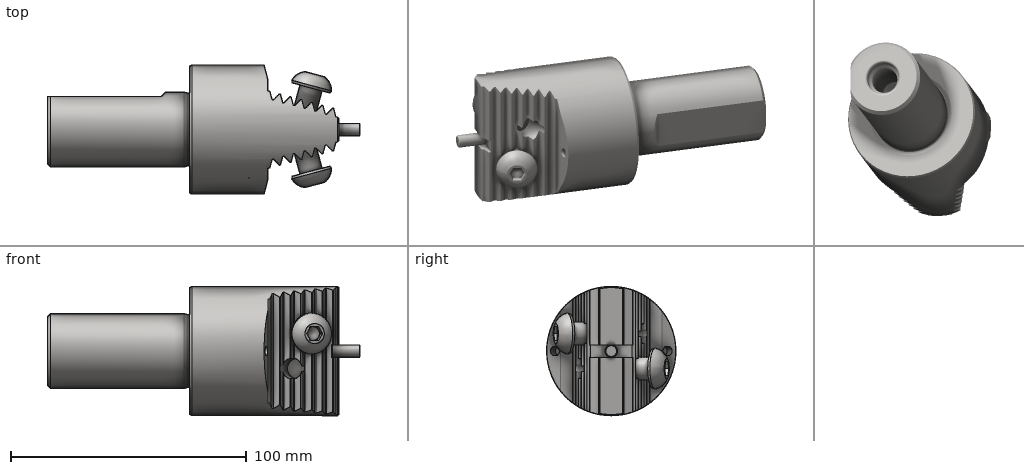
import cadquery as cq
import math


shank_radius = 15.9
shank_chamfer_length = 1.3
shank_chamfer_depth = 1.3
flat_offset = 14.0
flat_end = 48.3
neck_taper_start = 58.0
neck_start = 59.5
neck_radius = 15.5
undercut_start = 60.0
undercut_depth = 0.5
undercut_inner_radius = 16.2
undercut_outer_radius = 17.6

bore_radius = 5.5
bore_depth = 26.5
drill_tip_angle = 118.0
recess_radius = 6.8
recess_end = 2.7
recess_cone_length = 1.5
mouth_round = 0.9

head_start = 60.4
head_end = 123.7
head_radius = 27.5
head_rear_chamfer_length = 0.9
head_chamfer = 0.5

flank_angle = 15.0
first_tip_x = 94.2
first_tip_y = 16.3
tooth_row_length = 28.0
tooth_depth = 3.2
tooth_half_angle = 30.0
full_teeth = 6
wall_x = 93.5
wall_bend_y = 21.5

outlet_radius = 2.0
outlet_y = 23.9
outlet_depth = 8.0

screw_x = 111.9
screw_y = 17.6
screw_z = 7.4
screw_radius = 4.9
screw_length = 22.7
screw_hole_radius = 4.2
cap_radius = 8.8
cap_height = 6.1
cap_flat_radius = 4.2
cap_bulge_radius = 7.7
cap_bulge_height = 3.5
rim_height = 1.0
rim_chamfer = 0.4
hex_across_flats = 6.0
hex_sides = 6
hex_depth = 3.2
hex_tip_depth = 1.0

pin_radius = 2.7
pin_end = 132.7
pin_chamfer = 0.33
slot_depth = 3.0

cut_margin = 6.6

slope = math.radians(flank_angle)
outward = cq.Vector(math.sin(slope), math.cos(slope), 0)
along = cq.Vector(math.cos(slope), -math.sin(slope), 0)
tooth_pitch = tooth_row_length / full_teeth
tooth_rise = tooth_depth * math.tan(math.radians(tooth_half_angle))
half_land = (tooth_pitch - 2 * tooth_rise) / 4
slot_bottom = head_end - slot_depth


def half_turn(body):
    """Copy of a body turned to the opposite side of the X axis."""
    return body.rotate((0, 0, 0), (1, 0, 0), 180)


def turned_blank():
    """Shank and head in one revolved outline, with an undercut at the shoulder."""
    return (
        cq.Workplane("XZ")
        .lineTo(0, shank_radius - shank_chamfer_depth)
        .lineTo(shank_chamfer_length, shank_radius)
        .lineTo(neck_taper_start, shank_radius)
        .lineTo(neck_start, neck_radius)
        .lineTo(undercut_start, neck_radius)
        .tangentArcPoint((head_start + undercut_depth, undercut_inner_radius), relative=False)
        .lineTo(head_start, undercut_outer_radius)
        .lineTo(head_start, head_radius - head_chamfer)
        .lineTo(head_start + head_rear_chamfer_length, head_radius)
        .lineTo(head_end - head_chamfer, head_radius)
        .lineTo(head_end, head_radius - head_chamfer)
        .lineTo(head_end, 0)
        .close()
        .revolve(360, (0, 0, 0), (1, 0, 0))
    )


def centre_bore():
    """Cutter for the blind bore with a wider recess and a rounded mouth."""
    tip_length = bore_radius / math.tan(math.radians(drill_tip_angle / 2))
    arc_middle = mouth_round * (1 - math.sqrt(0.5))
    return (
        cq.Workplane("XZ")
        .lineTo(0, recess_radius + mouth_round)
        .threePointArc((arc_middle, recess_radius + arc_middle), (mouth_round, recess_radius))
        .lineTo(recess_end, recess_radius)
        .lineTo(recess_end + recess_cone_length, bore_radius)
        .lineTo(bore_depth, bore_radius)
        .lineTo(bore_depth + tip_length, 0)
        .close()
        .revolve(360, (0, 0, 0), (1, 0, 0))
    )


def shank_flat():
    """Cutter for the flat on the +Y side, with a 45 degree run-out toward the head."""
    height = shank_radius + cut_margin - flat_offset
    return (
        cq.Workplane("XY", origin=(0, 0, -shank_radius))
        .moveTo(-cut_margin, flat_offset)
        .lineTo(flat_end, flat_offset)
        .lineTo(flat_end + height, flat_offset + height)
        .lineTo(-cut_margin, flat_offset + height)
        .close()
        .extrude(2 * shank_radius)
    )


def flank_cutter():
    """Cutter for all outside the +Y flank: inclined wall, short step, the row of teeth, chamfered end."""
    first_tip = cq.Vector(first_tip_x, first_tip_y, 0)

    def on_flank(distance, depth):
        point = first_tip + along * distance - outward * depth
        return (point.x, point.y)

    beyond_y = head_radius + cut_margin
    beyond_x = head_end + cut_margin
    outline = [
        (wall_x - (beyond_y - wall_bend_y) * math.tan(slope), beyond_y),
        (wall_x, wall_bend_y),
        (wall_x, first_tip_y + (first_tip_x - wall_x) * math.tan(slope)),
        on_flank(half_land, 0),
    ]
    for tooth in range(1, full_teeth + 1):
        tip = tooth * tooth_pitch
        outline += [
            on_flank(tip - 3 * half_land - tooth_rise, tooth_depth),
            on_flank(tip - half_land - tooth_rise, tooth_depth),
            on_flank(tip - half_land, 0),
            on_flank(tip + half_land, 0),
        ]
    last_root = on_flank(full_teeth * tooth_pitch + half_land + tooth_rise, tooth_depth)
    edge_x = head_end - head_chamfer
    edge_y = last_root[1] - (edge_x - last_root[0]) * math.tan(slope)
    outline += [
        last_root,
        (edge_x, edge_y),
        (head_end, edge_y - head_chamfer),
        (beyond_x, edge_y - head_chamfer),
        (beyond_x, beyond_y),
    ]
    return (
        cq.Workplane("XY", origin=(0, 0, -beyond_y))
        .polyline(outline)
        .close()
        .extrude(2 * beyond_y)
    )


def coolant_outlet():
    """Cutter for the blind hole square to the inclined wall on the +Y side."""
    mouth = cq.Vector(wall_x - (outlet_y - wall_bend_y) * math.tan(slope), outlet_y, 0)
    into_wall = cq.Vector(-math.cos(slope), -math.sin(slope), 0)
    return cq.Workplane(cq.Solid.makeCylinder(outlet_radius, outlet_depth, mouth, into_wall))


def screw_axis_point(distance):
    """Point on the +Y screw axis, measured from the cap's seat into the holder."""
    return cq.Vector(screw_x, screw_y, -screw_z) - outward * distance


def screw_hole():
    """Cutter for the +Y screw hole, which narrows at the screw tip and exits the other flank."""
    inward = outward * -1
    body_hole = cq.Solid.makeCylinder(screw_radius, screw_length, screw_axis_point(0), inward)
    exit_hole = cq.Solid.makeCylinder(
        screw_hole_radius, screw_length, screw_axis_point(screw_length), inward
    )
    return cq.Workplane(body_hole.fuse(exit_hole))


def pin_slot():
    """Cutter for the slot that runs along Y across the jaw end."""
    return (
        cq.Workplane("XY")
        .box(slot_depth, 2 * head_radius, 2 * pin_radius)
        .translate((head_end - slot_depth / 2, 0, 0))
    )


def make_holder():
    """Turned body with the shank details and two matching sets of jaw features."""
    holder = turned_blank().cut(centre_bore()).cut(shank_flat())
    for cutter in (flank_cutter(), coolant_outlet(), screw_hole()):
        holder = holder.cut(cutter).cut(half_turn(cutter))
    return holder.cut(pin_slot())


def make_screw():
    """Button-head screw on the +Y side."""
    seat_plane = cq.Plane(origin=screw_axis_point(0), xDir=along, normal=outward)
    body = (
        cq.Workplane("XZ")
        .moveTo(0, -screw_length)
        .lineTo(screw_radius, -screw_length)
        .lineTo(screw_radius, 0)
        .lineTo(cap_radius - rim_chamfer, 0)
        .lineTo(cap_radius, rim_height)
        .threePointArc((cap_bulge_radius, cap_bulge_height), (cap_flat_radius, cap_height))
        .lineTo(0, cap_height)
        .close()
        .revolve(360, (0, 0, 0), (0, 1, 0))
    )
    socket = (
        cq.Workplane("XY", origin=(0, 0, cap_height - hex_depth))
        .polygon(hex_sides, hex_across_flats / math.cos(math.pi / hex_sides))
        .extrude(hex_depth)
    )
    socket_tip = cq.Solid.makeCone(
        hex_across_flats / 2,
        0,
        hex_tip_depth,
        cq.Vector(0, 0, cap_height - hex_depth),
        cq.Vector(0, 0, -1),
    )
    screw = body.cut(socket).cut(cq.Workplane(socket_tip))
    return cq.Workplane(screw.val().moved(cq.Location(seat_plane)))


def make_pin():
    """Stop pin standing on the slot floor, chamfered at both ends."""
    return (
        cq.Workplane("YZ", origin=(slot_bottom, 0, 0))
        .circle(pin_radius)
        .extrude(pin_end - slot_bottom)
        .faces("<X or >X")
        .chamfer(pin_chamfer)
    )


holder = make_holder()
pin = make_pin()
screws = []
for turned_over in (False, True):
    screw = make_screw()
    screws.append(half_turn(screw) if turned_over else screw)

result = cq.Compound.makeCompound([holder.val(), pin.val(), *[screw.val() for screw in screws]])